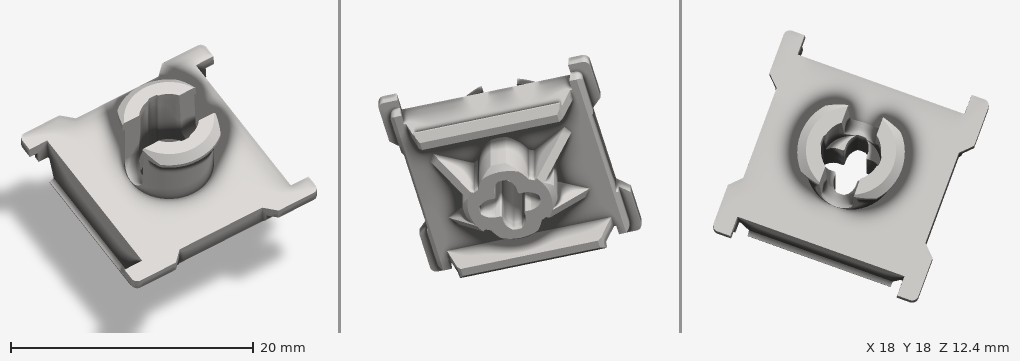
import cadquery as cq
import math


plate_size = 18.0
plate_half = plate_size / 2
plate_corner_radius = 0.54
waist_half_x = 8.01
notch_half_y = 4.03
flange_thickness = 0.97
plate_depth = 2.1
lower_half = 8.19
lower_corner_radius = 0.54
side_bevel = 0.4
end_face_y = 7.27
arm_gap_half_top = 7.35
arm_gap_half_bottom = 7.18

clip_depth = 4.9
clip_inner_top_y = 6.28
clip_inner_bottom_y = 6.35
hook_reach = 0.45
hook_top_depth = 4.03
hook_lip_top_depth = 4.14
hook_lip_bottom_depth = 4.27
clip_half_top = 7.0
clip_bevel_depth = 4.57
clip_half_bevel = 6.14
clip_half_bottom = 5.85

sleeve_radius = 3.73
sleeve_top = 6.2
bore_radius = 2.48
bore_floor = 0.0
collar_radius = 4.45
collar_bottom = 5.27
collar_band_height = 0.32
collar_flank_radius = 7.56
slot_half_top = 1.53
slot_half_bottom = 1.37
slot_bottom = 0.15

boss_radius = 3.96
boss_depth = 6.21
boss_bevel_height = 0.52
boss_bevel_width = 0.45
boss_corner = 2.16
boss_tip_half = 0.65
boss_bulge = 0.2
hole_radius = 2.6
hole_corner = 0.95
hole_corner_radius = 0.16
hole_tip_half = 0.36
hole_straight_end = 1.53
hole_bulge = 0.13
rib_thickness = 0.81
rib_angle = 30.0
rib_reach_top = 6.71
rib_reach_bottom = 3.51


def mirrored_x(points):
    """Add the mirror image of a half outline so the loop closes across X = 0."""
    return points + [(-x, y) for x, y in reversed(points)]


def prism_along_y(points, start_y, end_y):
    """Extrude an XZ outline from start_y to end_y."""
    return cq.Workplane("XZ", origin=(0, start_y, 0)).polyline(points).close().extrude(start_y - end_y)


def both_y_ends(solid):
    return solid.union(solid.mirror("XZ"))


def make_plate():
    notch_outer_y = notch_half_y + plate_half - waist_half_x
    block = cq.Workplane("XY").rect(plate_size, plate_size).extrude(-plate_depth)
    block = block.edges("|Z").fillet(plate_corner_radius)
    notch = (
        cq.Workplane("XY")
        .polyline([
            (waist_half_x, -notch_half_y),
            (plate_half, -notch_outer_y),
            (plate_half, notch_outer_y),
            (waist_half_x, notch_half_y),
        ])
        .close()
        .extrude(-plate_depth)
    )
    block = block.cut(notch).cut(notch.mirror("YZ"))

    flange_space = cq.Workplane("XY").rect(plate_size, plate_size).extrude(-flange_thickness)
    lower_step = (
        cq.Workplane("XY")
        .rect(2 * lower_half, 2 * lower_half)
        .extrude(-plate_depth)
        .edges("|Z")
        .fillet(lower_corner_radius)
    )
    bevel_outline = mirrored_x([
        (lower_half, 0),
        (lower_half, side_bevel - plate_depth),
        (lower_half - side_bevel, -plate_depth),
    ])
    lower_step = lower_step.intersect(prism_along_y(bevel_outline, -lower_half, lower_half))
    block = block.intersect(flange_space.union(lower_step))

    arm_gap = prism_along_y(
        mirrored_x([(arm_gap_half_top, 0), (arm_gap_half_bottom, -plate_depth)]),
        end_face_y,
        plate_half,
    )
    return block.cut(both_y_ends(arm_gap))


def make_clips():
    hook_tip_y = end_face_y + hook_reach
    hook_nose_y = hook_tip_y - (clip_depth - hook_lip_bottom_depth)
    profile = [
        (clip_inner_top_y, -flange_thickness),
        (end_face_y, -flange_thickness),
        (end_face_y, -hook_top_depth),
        (hook_tip_y, -hook_lip_top_depth),
        (hook_tip_y, -hook_lip_bottom_depth),
        (hook_nose_y, -clip_depth),
        (clip_inner_bottom_y, -clip_depth),
    ]
    strip = cq.Workplane("YZ").polyline(profile).close().extrude(clip_half_top, both=True)
    side_outline = mirrored_x([
        (clip_half_top, 0),
        (clip_half_top, -plate_depth),
        (clip_half_bevel, -clip_bevel_depth),
        (clip_half_bottom, -clip_depth),
    ])
    return both_y_ends(strip.intersect(prism_along_y(side_outline, 0, plate_half)))


def make_sleeve():
    sleeve = cq.Workplane("XY").circle(sleeve_radius).extrude(sleeve_top)
    collar = (
        cq.Workplane("XZ")
        .polyline([
            (0, collar_bottom),
            (collar_radius, collar_bottom),
            (collar_radius, collar_bottom + collar_band_height),
            (sleeve_radius, sleeve_top),
            (0, sleeve_top),
        ])
        .close()
        .revolve(360, (0, 0), (0, 1))
    )
    flank_offset = collar_flank_radius - sleeve_radius
    for side in (-1, 1):
        flank = cq.Workplane("XY").center(0, side * flank_offset).circle(collar_flank_radius)
        collar = collar.intersect(flank.extrude(sleeve_top))
    return sleeve.union(collar)


def make_slot():
    straight_end = slot_bottom + slot_half_bottom
    return (
        cq.Workplane("XZ")
        .moveTo(slot_half_top, sleeve_top)
        .lineTo(slot_half_bottom, straight_end)
        .threePointArc((0, slot_bottom), (-slot_half_bottom, straight_end))
        .lineTo(-slot_half_top, sleeve_top)
        .close()
        .extrude(collar_radius, both=True)
    )


def lobe_pair(flank_start, tip_half, radius, bulge, bottom, top):
    """Prism reaching along +Y and -Y, with bulged flanks and tips on a circle of the given radius."""
    start_x, start_y = flank_start
    tip_y = math.sqrt(radius**2 - tip_half**2)
    chord = math.hypot(start_x - tip_half, tip_y - start_y)
    middle_x = (start_x + tip_half) / 2 + bulge * (tip_y - start_y) / chord
    middle_y = (start_y + tip_y) / 2 + bulge * (start_x - tip_half) / chord
    return (
        cq.Workplane("XY", origin=(0, 0, bottom))
        .moveTo(start_x, -start_y)
        .lineTo(start_x, start_y)
        .threePointArc((middle_x, middle_y), (tip_half, tip_y))
        .threePointArc((0, radius), (-tip_half, tip_y))
        .threePointArc((-middle_x, middle_y), (-start_x, start_y))
        .lineTo(-start_x, -start_y)
        .threePointArc((-middle_x, -middle_y), (-tip_half, -tip_y))
        .threePointArc((0, -radius), (tip_half, -tip_y))
        .threePointArc((middle_x, -middle_y), (start_x, -start_y))
        .close()
        .extrude(top - bottom)
    )


def four_lobes(pair):
    return pair.union(pair.rotate((0, 0, 0), (0, 0, 1), 90))


def make_boss():
    boss = four_lobes(
        lobe_pair((boss_corner, boss_corner), boss_tip_half, boss_radius, boss_bulge, -boss_depth, 0)
    )
    rib_profile = [
        (0, -plate_depth),
        (rib_reach_top, -plate_depth),
        (rib_reach_bottom, -boss_depth),
        (0, -boss_depth),
    ]
    rib = cq.Workplane("XZ").polyline(rib_profile).close().extrude(rib_thickness / 2, both=True)
    bevel = (
        cq.Workplane("XZ")
        .polyline([
            (boss_radius - boss_bevel_width, -boss_depth),
            (boss_radius, -boss_depth + boss_bevel_height),
            (boss_radius, -boss_depth),
        ])
        .close()
        .revolve(360, (0, 0), (0, 1))
    )
    boss = boss.cut(bevel)
    for angle in (rib_angle, 180 - rib_angle, 180 + rib_angle, -rib_angle):
        boss = boss.union(rib.rotate((0, 0, 0), (0, 0, 1), angle))
    return boss


def make_hole():
    flank_start = (hole_corner, hole_straight_end)
    lobes = four_lobes(
        lobe_pair(flank_start, hole_tip_half, hole_radius, hole_bulge, -boss_depth, sleeve_top)
    )
    corner_reach = hole_corner + hole_corner_radius
    inside_corners = cq.selectors.BoxSelector(
        (-corner_reach, -corner_reach, -boss_depth),
        (corner_reach, corner_reach, sleeve_top),
    )
    lobes = lobes.edges("|Z").edges(inside_corners).fillet(hole_corner_radius)
    bore = cq.Workplane("XY", origin=(0, 0, bore_floor)).circle(bore_radius).extrude(sleeve_top - bore_floor)
    return lobes.union(bore)


result = (
    make_plate()
    .union(make_clips())
    .union(make_boss())
    .union(make_sleeve())
    .cut(make_slot())
    .cut(make_hole())
)